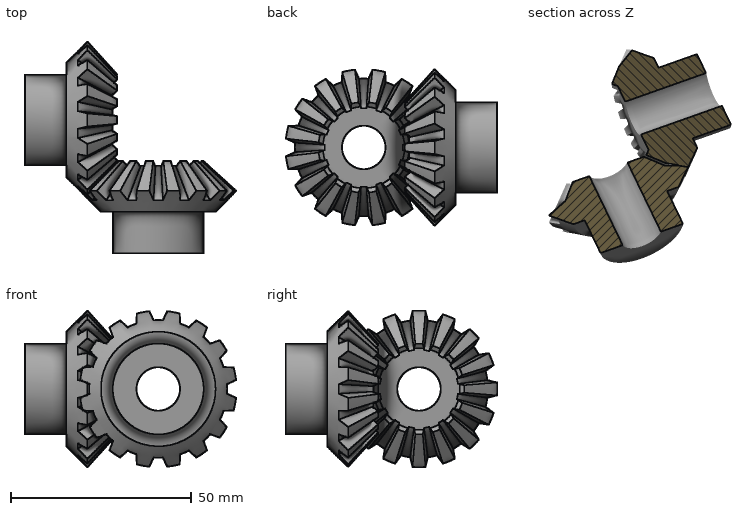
import cadquery as cq
import math

tooth_count = 16
pitch_radius = 20.7
addendum = 1.485
dedendum = 2.2
mounting_distance = 37.0
hub_radius = 12.6
hub_length = 11.5
bore_radius = 6.0
front_face_depth = 12.64
tooth_inner_depth = 11.37

gap_root_half_angle = 3.89
gap_tip_half_angle = 6.51

cone_angle = math.radians(45)
tip_radius = pitch_radius + addendum * math.cos(cone_angle)
tip_depth = pitch_radius - addendum * math.sin(cone_angle)
root_radius = pitch_radius - dedendum * math.cos(cone_angle)
root_depth = pitch_radius + dedendum * math.sin(cone_angle)
back_face_depth = mounting_distance - hub_length
back_face_radius = 2 * pitch_radius - back_face_depth

tooth_inner_radius = tip_radius * tooth_inner_depth / tip_depth
front_face_radius = tooth_inner_radius + tooth_inner_depth - front_face_depth

cutter_end_clearance = 2.0
cutter_outer_depth = root_depth + cutter_end_clearance
cutter_inner_depth = tooth_inner_depth - cutter_end_clearance
flank_extension_ratio = 0.5

pitch_angle = 360 / tooth_count


def polar(radius, angle):
    """Point at a radius and an angle in degrees from the X axis."""
    return (radius * math.cos(math.radians(angle)), radius * math.sin(math.radians(angle)))


def make_blank():
    """Gear blank turned about Z, apex at the origin and hub towards -Z."""
    outline = [
        (bore_radius, -front_face_depth),
        (front_face_radius, -front_face_depth),
        (tooth_inner_radius, -tooth_inner_depth),
        (tip_radius, -tip_depth),
        (back_face_radius, -back_face_depth),
        (hub_radius, -back_face_depth),
        (hub_radius, -mounting_distance),
        (bore_radius, -mounting_distance),
    ]
    return cq.Workplane("XZ").polyline(outline).close().revolve(360, (0, 0, 0), (0, 1, 0))


def gap_section(depth):
    """Tooth space cross-section at one depth, as a wire that shrinks towards the apex."""
    root_point = polar(root_radius / root_depth, gap_root_half_angle)
    tip_point = polar(tip_radius / tip_depth, gap_tip_half_angle)
    outer_point = [tip + flank_extension_ratio * (tip - root) for root, tip in zip(root_point, tip_point)]
    root_x, root_y = [depth * value for value in root_point]
    outer_x, outer_y = [depth * value for value in outer_point]
    root_middle = (depth * root_radius / root_depth, 0)
    return (
        cq.Workplane("XY", origin=(0, 0, -depth))
        .moveTo(outer_x, -outer_y)
        .lineTo(root_x, -root_y)
        .threePointArc(root_middle, (root_x, root_y))
        .lineTo(outer_x, outer_y)
        .close()
        .val()
    )


def make_gear(first_gap_angle):
    """Bevel gear about Z with its tooth spaces counted from the given angle."""
    cutter = cq.Solid.makeLoft([gap_section(cutter_outer_depth), gap_section(cutter_inner_depth)], True)
    gear = make_blank()
    for index in range(tooth_count):
        angle = first_gap_angle + index * pitch_angle
        gear = gear.cut(cq.Workplane(cutter.rotate(cq.Vector(0, 0, 0), cq.Vector(0, 0, 1), angle)))
    return gear


x_axis_gear = make_gear(pitch_angle / 2).rotate((0, 0, 0), (0, 1, 0), 90)

y_axis_gear = make_gear(0).rotate((0, 0, 0), (1, 0, 0), -90)

x_axis_gear = x_axis_gear.cut(y_axis_gear)

result = cq.Compound.makeCompound([x_axis_gear.solids().val(), y_axis_gear.solids().val()])